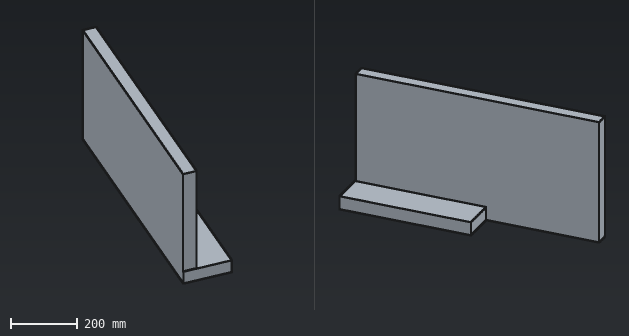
import cadquery as cq

total_length = 810.0
total_depth = 159.0
panel_height = 406.5

board_thickness = 44.5
end_strip_thickness = 2.5
foot_start = 374.0

panel_length = total_length - end_strip_thickness
foot_length = panel_length - foot_start
foot_depth = total_depth - board_thickness


def block(length, depth, height, x=0, y=0):
    """Box standing on the base plane with its lower left front corner at x, y."""
    return cq.Workplane("XY").box(length, depth, height, centered=False).translate((x, y, 0))


panel = block(panel_length, board_thickness, panel_height)

foot = block(foot_length, foot_depth, board_thickness, x=foot_start, y=board_thickness)

end_strip = block(end_strip_thickness, total_depth, board_thickness, x=panel_length)

result = panel.union(foot).union(end_strip)